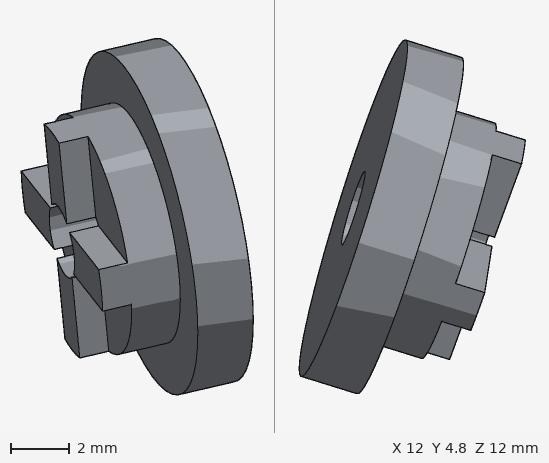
import cadquery as cq

flange_diameter = 12.0
hub_diameter = 8.4
bore_diameter = 2.6
total_length = 4.8
flange_thickness = 2.0
cross_height = 1.05
arm_width = 1.6
cross_angle = 15.0

hub_top = total_length - cross_height


def disc(diameter, length):
    """Cylinder from the back face of the flange toward -Y."""
    return cq.Workplane("XZ").circle(diameter / 2).extrude(length)


def bar(angle):
    """Straight bar across the hub face, turned about the axis by the given angle."""
    return (
        cq.Workplane("XZ", origin=(0, -hub_top, 0))
        .transformed(rotate=(0, 0, angle))
        .rect(hub_diameter, arm_width)
        .extrude(cross_height)
    )


def cross():
    """Four raised arms whose ends follow the round side of the hub."""
    bars = bar(cross_angle).union(bar(cross_angle + 90))
    return bars.intersect(disc(hub_diameter, total_length))


flange = disc(flange_diameter, flange_thickness)
hub = disc(hub_diameter, hub_top)
bore = disc(bore_diameter, total_length)

result = flange.union(hub).union(cross()).cut(bore)